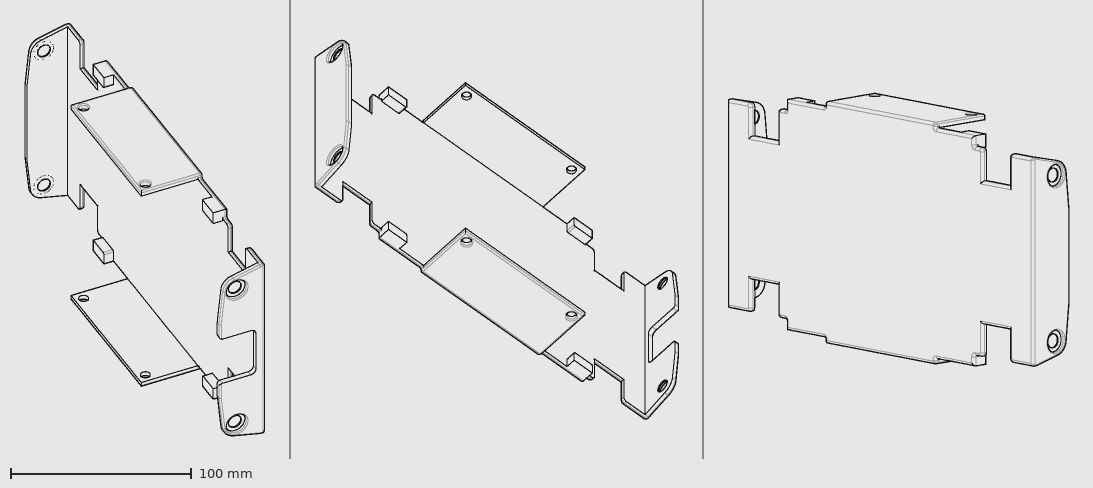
import cadquery as cq
import math

length = 245.5
height = 136.0
depth = 38.0
thickness = 3.2

bend_round = 1.7
edge_round = 1.0
hole_round = 0.7

half_length = length / 2
half_height = height / 2

body_half_height = half_height - thickness
body_half_width = 75.5
shoulder_half_width = 82.3
shoulder_half_height = 58.7
neck_half_height = 40.3
tab_inner_x = 104.0
corner_radius = 2.2
inner_corner_radius = 1.0

block_width = 13.5
block_height = 7.4
block_depth = 9.0
block_corner_radius = 1.0

flange_half_width = 44.2
flange_hole_x = 38.8
flange_hole_y = -33.0
flange_hole_diameter = 5.5

ear_depth = 28.2
ear_flat_half_height = 25.5
ear_hole_y = -17.7
ear_hole_z = 46.7
ear_tip_radius = 8.4
ear_tip_middle_angle = 140
ear_hole_diameter = 7.9
ear_bore_diameter = 12.3
ear_bore_depth = 2.5

notch_height = 30.7
notch_floor_y = -6.0
notch_floor_radius = 3.2
notch_mouth_radius = 1.7


def centred_box(x_size, z_size, y_front, y_back):
    """Box centred on the Y axis between two Y positions."""
    box = cq.Workplane("XY").box(x_size, y_back - y_front, z_size)
    return box.translate((0, (y_front + y_back) / 2, 0))


def tip_point(angle):
    """Point on the upper ear tip circle at an angle from +Y."""
    return (ear_hole_y + ear_tip_radius * math.cos(angle), ear_hole_z + ear_tip_radius * math.sin(angle))


def tangent_point(y, z, side):
    """Point where a line from (y, z) touches the ear tip circle; side is +1 or -1."""
    distance = math.hypot(y - ear_hole_y, z - ear_hole_z)
    bearing = math.atan2(z - ear_hole_z, y - ear_hole_y)
    angle = bearing + side * math.acos(ear_tip_radius / distance)
    return tip_point(angle)


def mirrored(point):
    """Same (Y, Z) point on the other side of the Z = 0 plane."""
    return (point[0], -point[1])


def make_plate():
    """Flat plate: body with flange roots, lower shoulders, narrow neck and two end tabs."""
    body = centred_box(2 * body_half_width, 2 * body_half_height, -thickness, 0)
    roots = centred_box(2 * flange_half_width, height, -thickness, 0)
    shoulders = centred_box(2 * shoulder_half_width, 2 * shoulder_half_height, -thickness, 0)
    shoulders = shoulders.edges("|Y").fillet(corner_radius)
    plate = body.union(roots).union(shoulders)
    for x, z in [(flange_half_width, body_half_height), (body_half_width, shoulder_half_height)]:
        for x_side in (-1, 1):
            for z_side in (-1, 1):
                inner_corner = cq.selectors.NearestToPointSelector((x * x_side, -thickness / 2, z * z_side))
                plate = plate.edges("|Y").edges(inner_corner).fillet(inner_corner_radius)

    neck = centred_box(length, 2 * neck_half_height, -thickness, 0)
    tab_width = half_length - tab_inner_x
    tab = centred_box(tab_width, 2 * shoulder_half_height, -thickness, 0)
    tab = tab.edges("|Y and <X").fillet(corner_radius).translate((half_length - tab_width / 2, 0, 0))
    return plate.union(neck).union(tab).union(tab.mirror("YZ"))


def make_ear():
    """+X ear: slanted ends, round tips and a free edge that rises to a flat middle."""
    root = (0, shoulder_half_height)
    crest = (-ear_depth, ear_flat_half_height)
    upper = tangent_point(-thickness, shoulder_half_height, 1)
    lower = tangent_point(*crest, -1)
    middle = tip_point(math.radians(ear_tip_middle_angle))
    ear = (
        cq.Workplane("YZ")
        .moveTo(*root)
        .lineTo(-thickness, shoulder_half_height)
        .lineTo(*upper)
        .threePointArc(middle, lower)
        .lineTo(*crest)
        .lineTo(*mirrored(crest))
        .lineTo(*mirrored(lower))
        .threePointArc(mirrored(middle), mirrored(upper))
        .lineTo(-thickness, -shoulder_half_height)
        .lineTo(*mirrored(root))
        .close()
        .extrude(thickness)
    )
    return ear.translate((half_length - thickness, 0, 0))


def notch_cutter():
    """Slot with rounded floor corners and a mouth that flares out in two arcs."""
    half_slot = notch_height / 2
    floor_arc_shift = notch_floor_radius * (1 - math.sqrt(0.5))
    mouth_arc_shift = notch_mouth_radius * (1 - math.sqrt(0.5))
    floor_arc_middle = (notch_floor_y - floor_arc_shift, half_slot - floor_arc_shift)
    floor_arc_end = (notch_floor_y - notch_floor_radius, half_slot)
    mouth_arc_start = (-ear_depth + notch_mouth_radius, half_slot)
    mouth_arc_middle = (-ear_depth + mouth_arc_shift, half_slot + mouth_arc_shift)
    mouth_arc_end = (-ear_depth, half_slot + notch_mouth_radius)
    floor_end = (notch_floor_y, half_slot - notch_floor_radius)
    notch = (
        cq.Workplane("YZ")
        .moveTo(*mirrored(floor_end))
        .lineTo(*floor_end)
        .threePointArc(floor_arc_middle, floor_arc_end)
        .lineTo(*mouth_arc_start)
        .threePointArc(mouth_arc_middle, mouth_arc_end)
        .lineTo(*mirrored(mouth_arc_end))
        .threePointArc(mirrored(mouth_arc_middle), mirrored(mouth_arc_start))
        .lineTo(*mirrored(floor_arc_end))
        .threePointArc(mirrored(floor_arc_middle), mirrored(floor_end))
        .close()
        .extrude(thickness)
    )
    return notch.translate((half_length - thickness, 0, 0))


def make_blocks():
    """Four stop blocks on the front of the plate, flush with the corners of its body."""
    block = centred_box(block_width, block_height, -block_depth, -thickness)
    block = block.edges("|Y and <X and <Z").fillet(block_corner_radius)
    block = block.translate((body_half_width - block_width / 2, 0, body_half_height - block_height / 2))
    pair = block.union(block.mirror("YZ"))
    return pair.union(pair.mirror("XY"))


def make_flange():
    """Upper flange, flat and rectangular."""
    flange = centred_box(2 * flange_half_width, thickness, -depth, 0)
    return flange.translate((0, 0, half_height - thickness / 2))


def round_outer_edges(part):
    """Round the bends and the back rim first, then the free outer edges of the flanges and ears."""
    part = part.faces(">Y").edges().fillet(bend_round)
    in_front_of_plate = cq.selectors.BoxSelector(
        (-length, -2 * depth, -height), (length, -thickness / 2, height)
    )
    for side in ("<X", ">X", "<Z", ">Z"):
        part = part.faces(side).edges(in_front_of_plate).fillet(edge_round)
    return part


def drill(part, side, across, centres, diameter, hole_depth):
    """Sink holes from one outer side of the part and round their mouths."""
    surface = half_length if across == "YZ" else half_height
    if side.startswith("<"):
        surface, hole_depth = -surface, -hole_depth
    cutter = cq.Workplane(across).workplane(offset=surface).pushPoints(centres)
    part = part.cut(cutter.circle(diameter / 2).extrude(-hole_depth))
    mouths = part.faces(side).edges(cq.selectors.RadiusNthSelector(0))
    return mouths.fillet(hole_round)


def drill_flanges(part):
    """Two round-mouthed holes through each flange."""
    centres = [(-flange_hole_x, flange_hole_y), (flange_hole_x, flange_hole_y)]
    for side in ("<Z", ">Z"):
        part = drill(part, side, "XY", centres, flange_hole_diameter, thickness)
    return part


def drill_ears(part):
    """Plain holes through both ears, each sunk in a round-mouthed bore on the outside."""
    centres = [(ear_hole_y, -ear_hole_z), (ear_hole_y, ear_hole_z)]
    for side in ("<X", ">X"):
        part = drill(part, side, "YZ", centres, ear_bore_diameter, ear_bore_depth)
    through = cq.Workplane("YZ").pushPoints(centres).circle(ear_hole_diameter / 2)
    return part.cut(through.extrude(half_length, both=True))


flange = make_flange()
ear = make_ear()
result = make_plate().union(flange).union(flange.mirror("XY"))
result = result.union(ear).union(ear.mirror("YZ"))
result = round_outer_edges(result)
result = drill_flanges(result)
result = drill_ears(result)
result = result.cut(notch_cutter())
result = result.union(make_blocks())